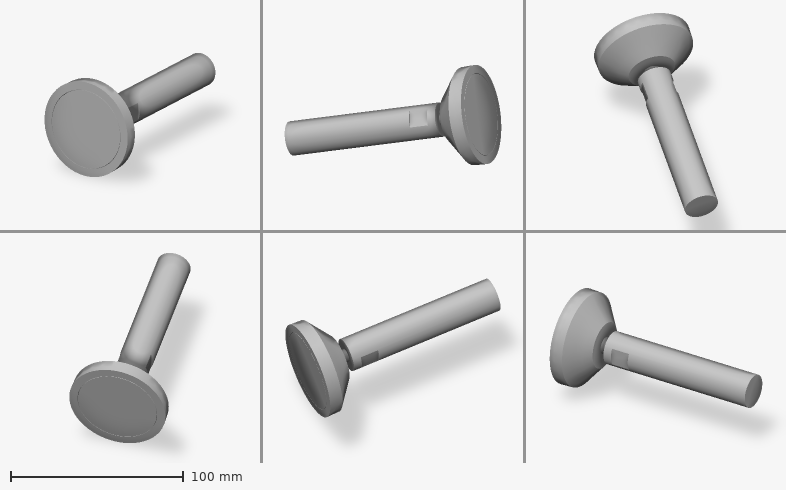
import cadquery as cq
import math

total_length = 120.0
floor_y = -total_length / 2

foot_diameter = 58.0
rim_top_diameter = 57.4
rim_height = 8.0
foot_top_diameter = 28.1
foot_height = 20.0
groove_outer_diameter = 48.0
groove_inner_diameter = 47.5
groove_depth = 2.4

shaft_diameter = 20.0
shaft_start = 25.0
neck_diameter = 7.8
ball_diameter = 12.0
neck_start = 21.4
flats_width = 17.0
flats_start = 30.0
flats_length = 11.3

ball_center_height = neck_start - math.sqrt(ball_diameter**2 - neck_diameter**2) / 2


def cylinder(diameter, start, end):
    """Cylinder on the common axis between two heights above the floor."""
    plane = cq.Plane(origin=(0, floor_y + start, 0), xDir=(1, 0, 0), normal=(0, 1, 0))
    return cq.Workplane(plane).circle(diameter / 2).extrude(end - start)


def make_ball():
    """Ball of the swivel joint, also used to cut its socket."""
    return cq.Workplane("XY").sphere(ball_diameter / 2).translate((0, floor_y + ball_center_height, 0))


def make_foot():
    """Conical foot with a ball socket and a ring groove in its floor face."""
    foot = (
        cq.Workplane("XY")
        .moveTo(0, floor_y)
        .lineTo(foot_diameter / 2, floor_y)
        .lineTo(rim_top_diameter / 2, floor_y + rim_height)
        .lineTo(foot_top_diameter / 2, floor_y + foot_height)
        .lineTo(0, floor_y + foot_height)
        .close()
        .revolve(360, (0, 0, 0), (0, 1, 0))
    )
    groove = cylinder(groove_outer_diameter, 0, groove_depth).cut(
        cylinder(groove_inner_diameter, 0, groove_depth)
    )
    return foot.cut(groove).cut(make_ball())


def cut_wrench_flats(spindle):
    """Cut two opposite flats, facing -X and +X, near the lower shaft end."""
    cut_depth = (shaft_diameter - flats_width) / 2
    cut_center_x = (flats_width + cut_depth) / 2
    cut_center_y = floor_y + flats_start + flats_length / 2
    for side in (-1, 1):
        cutter = cq.Workplane("XY").box(cut_depth, flats_length, shaft_diameter)
        spindle = spindle.cut(cutter.translate((side * cut_center_x, cut_center_y, 0)))
    return spindle


def make_spindle():
    """Shaft with wrench flats, joined by a thin neck to the swivel ball."""
    shaft = cylinder(shaft_diameter, shaft_start, total_length)
    neck = cylinder(neck_diameter, ball_center_height, shaft_start)
    return cut_wrench_flats(shaft.union(neck).union(make_ball()))


foot = make_foot().solids()
spindle = make_spindle().solids()

result = cq.Compound.makeCompound([foot.val(), spindle.val()])